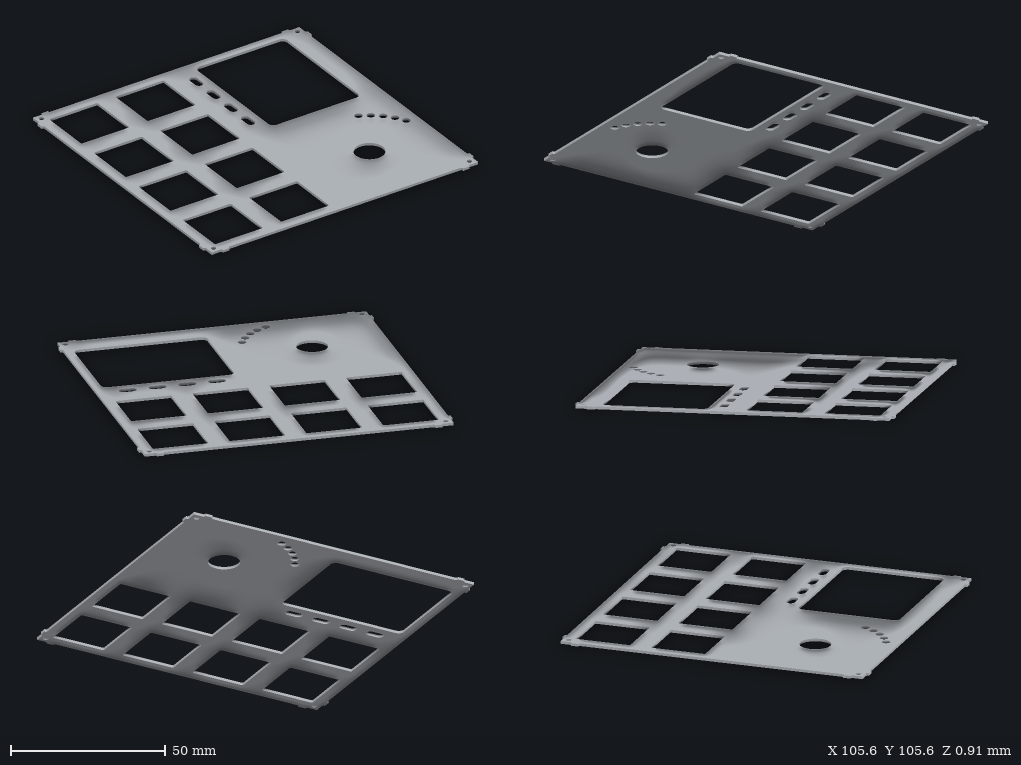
import cadquery as cq
import math

overall_size = 105.6
tab_height = 0.8
plate_size = overall_size - 2 * tab_height
thickness = 0.91
plate_half = plate_size / 2

tab_width = 2.4
tab_root_radius = 0.6
tab_offset = 46.9

screw_hole_diameter = 1.8
screw_hole_offset = 50.0

key_size = 18.8
key_pitch = 25.9
key_corner_radius = 0.5
key_columns = 4
key_rows = 2

display_width = 44.8
display_height = 35.0
display_corner_radius = 2.0
display_center = (-26.6, 26.6)
slot_length = 6.0
slot_width = 2.9
slot_pitch = 10.0
slot_count = 4
slot_row_y = 4.9

knob_diameter = 10.5
knob_center = (-display_center[0], display_center[1])
lamp_diameter = 2.9
lamp_arc_radius = 23.0
lamp_first_angle = 115
lamp_angle_step = 10
lamp_count = 5


def tab(position):
    """Square tab on the +Y side at the given X, with rounded inner corners at its root."""
    half_width = tab_width / 2
    root_half = half_width + tab_root_radius
    arc_middle = tab_root_radius * (1 - math.sqrt(0.5))
    tip = plate_half + tab_height
    inner_end = plate_half - tab_height
    return (
        cq.Workplane("XY")
        .moveTo(position - root_half, plate_half)
        .threePointArc(
            (position - half_width - arc_middle, plate_half + arc_middle),
            (position - half_width, plate_half + tab_root_radius),
        )
        .lineTo(position - half_width, tip)
        .lineTo(position + half_width, tip)
        .lineTo(position + half_width, plate_half + tab_root_radius)
        .threePointArc(
            (position + half_width + arc_middle, plate_half + arc_middle),
            (position + root_half, plate_half),
        )
        .lineTo(position + root_half, inner_end)
        .lineTo(position - root_half, inner_end)
        .close()
        .extrude(thickness)
    )


def window(width, height, corner_radius, center):
    """Cutter for a rectangular window with rounded corners."""
    return (
        cq.Workplane("XY")
        .center(*center)
        .rect(width, height)
        .extrude(thickness)
        .edges("|Z")
        .fillet(corner_radius)
    )


def round_holes(diameter, centers):
    """Cutter for equal round holes at the given centres."""
    return cq.Workplane("XY").pushPoints(centers).circle(diameter / 2).extrude(thickness)


result = cq.Workplane("XY").rect(plate_size, plate_size).extrude(thickness)
for quarter_turn in range(4):
    for position in (-tab_offset, tab_offset):
        side_tab = tab(position).rotate((0, 0, 0), (0, 0, 1), 90 * quarter_turn)
        result = result.union(side_tab)

screw_centers = [
    (x_side * screw_hole_offset, y_side * screw_hole_offset)
    for x_side in (-1, 1)
    for y_side in (-1, 1)
]
result = result.cut(round_holes(screw_hole_diameter, screw_centers))

for column in range(key_columns):
    for row in range(key_rows):
        key_center = (
            (column - (key_columns - 1) / 2) * key_pitch,
            -(row + 0.5) * key_pitch,
        )
        result = result.cut(window(key_size, key_size, key_corner_radius, key_center))

result = result.cut(window(display_width, display_height, display_corner_radius, display_center))

slot_centers = [
    (display_center[0] + (index - (slot_count - 1) / 2) * slot_pitch, slot_row_y)
    for index in range(slot_count)
]
slots = cq.Workplane("XY").pushPoints(slot_centers).slot2D(slot_length, slot_width).extrude(thickness)
result = result.cut(slots)

result = result.cut(round_holes(knob_diameter, [knob_center]))
lamp_angles = [
    math.radians(lamp_first_angle + index * lamp_angle_step) for index in range(lamp_count)
]
lamp_centers = [
    (
        knob_center[0] + lamp_arc_radius * math.cos(angle),
        knob_center[1] + lamp_arc_radius * math.sin(angle),
    )
    for angle in lamp_angles
]
result = result.cut(round_holes(lamp_diameter, lamp_centers))